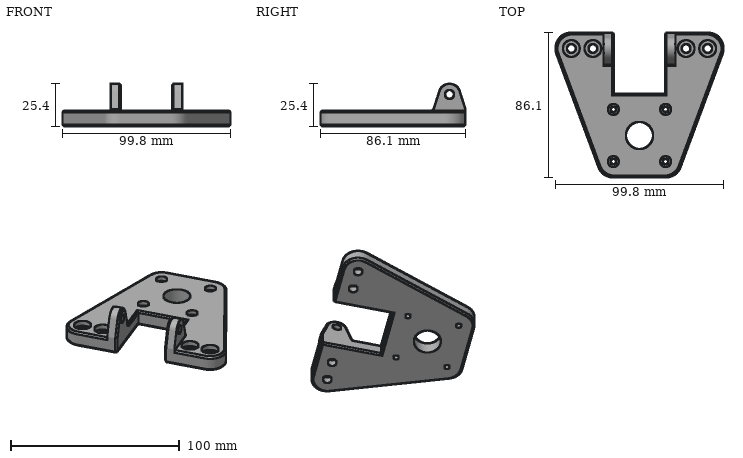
import cadquery as cq
import math

overall_width = 99.8
overall_depth = 86.1
plate_thickness = 9.5
front_edge = -25.0
rear_edge = front_edge + overall_depth
corner_radius = 9.5
edge_chamfer = 1.2
rear_corner_x = overall_width / 2 - corner_radius
rear_corner_y = rear_edge - corner_radius

bore_diameter = 16.0
small_hole_spacing = 31.0
small_hole_diameter = 3.1
small_counterbore_diameter = 6.5
small_counterbore_depth = 3.0
large_hole_spacing = 12.8
large_hole_diameter = 5.1
large_counterbore_diameter = 10.0
large_counterbore_depth = 3.4
front_corner_x = small_hole_spacing / 2
front_corner_y = front_edge + corner_radius

slot_width = 30.2
slot_end = 24.9
slot_chamfer = 1.1
lug_thickness = 6.2
lug_top = 25.4
lug_radius = 6.4
lug_pin_height = lug_top - lug_radius
lug_pin_diameter = 5.2
lug_half_base = rear_edge - rear_corner_y
foot_height = 0.8
foot_length = 0.9
tolerance = 0.01


def rounded_trapezoid():
    """Outline with equal corner radii, joined by tangent sides."""
    side_angle = math.atan2(rear_corner_x - front_corner_x, rear_corner_y - front_corner_y)
    side_x = corner_radius * math.cos(side_angle)
    side_y = -corner_radius * math.sin(side_angle)
    front_mid_angle = (-math.pi / 2 - side_angle) / 2
    rear_mid_angle = (math.pi / 2 - side_angle) / 2
    front_mid_x = front_corner_x + corner_radius * math.cos(front_mid_angle)
    front_mid_y = front_corner_y + corner_radius * math.sin(front_mid_angle)
    rear_mid_x = rear_corner_x + corner_radius * math.cos(rear_mid_angle)
    rear_mid_y = rear_corner_y + corner_radius * math.sin(rear_mid_angle)
    front_side = (front_corner_x + side_x, front_corner_y + side_y)
    rear_side = (rear_corner_x + side_x, rear_corner_y + side_y)
    return (
        cq.Workplane("XY")
        .moveTo(-front_corner_x, front_edge)
        .lineTo(front_corner_x, front_edge)
        .threePointArc((front_mid_x, front_mid_y), front_side)
        .lineTo(*rear_side)
        .threePointArc((rear_mid_x, rear_mid_y), (rear_corner_x, rear_edge))
        .lineTo(-rear_corner_x, rear_edge)
        .threePointArc((-rear_mid_x, rear_mid_y), (-rear_side[0], rear_side[1]))
        .lineTo(-front_side[0], front_side[1])
        .threePointArc((-front_mid_x, front_mid_y), (-front_corner_x, front_edge))
        .close()
    )


def make_plate():
    plate = rounded_trapezoid().extrude(plate_thickness)
    plate = plate.faces("<Z or >Z").chamfer(edge_chamfer)
    slot = cq.Workplane("XY").box(
        slot_width, rear_edge - slot_end, plate_thickness, centered=(True, False, False)
    )
    return plate.cut(slot.translate((0, slot_end, 0)))


def make_lug(inner_x):
    """Round-topped lug whose sloping sides are tangent to its top arc."""
    shoulder_z = plate_thickness + foot_height
    drop = lug_pin_height - shoulder_z
    tangent_angle = math.acos(lug_radius / math.hypot(lug_half_base, drop)) - math.atan2(drop, lug_half_base)
    tangent_y = lug_radius * math.cos(tangent_angle)
    tangent_z = lug_pin_height + lug_radius * math.sin(tangent_angle)
    base_z = plate_thickness - edge_chamfer
    front_y = rear_corner_y - lug_half_base
    return (
        cq.Workplane("YZ", origin=(inner_x, 0, 0))
        .moveTo(rear_edge, base_z)
        .lineTo(rear_edge, shoulder_z)
        .lineTo(rear_corner_y + tangent_y, tangent_z)
        .threePointArc((rear_corner_y, lug_top), (rear_corner_y - tangent_y, tangent_z))
        .lineTo(front_y, shoulder_z)
        .lineTo(front_y - foot_length, plate_thickness)
        .lineTo(front_y - foot_length, base_z)
        .close()
        .extrude(math.copysign(lug_thickness, inner_x))
    )


def chamfer_slot(body):
    """Bevel the slot along both plate faces, at its mouth and around the lug profiles."""
    edges = []
    for edge in body.edges().vals():
        box = edge.BoundingBox()
        on_left_wall = abs(box.xmin + slot_width / 2) + abs(box.xmax + slot_width / 2) < tolerance
        on_right_wall = abs(box.xmin - slot_width / 2) + abs(box.xmax - slot_width / 2) < tolerance
        on_wall = on_left_wall or on_right_wall
        on_end = abs(box.ymin - slot_end) + abs(box.ymax - slot_end) < tolerance
        is_corner = on_wall and on_end
        if (on_wall or on_end) and not is_corner:
            edges.append(edge)
    return body.newObject(edges).chamfer(slot_chamfer)


def drill_holes(body):
    small_holes = cq.Workplane("XY", origin=(0, 0, plate_thickness)).rect(
        small_hole_spacing, small_hole_spacing, forConstruction=True
    ).vertices()
    body = body.cut(small_holes.circle(small_hole_diameter / 2).extrude(-plate_thickness))
    body = body.cut(small_holes.circle(small_counterbore_diameter / 2).extrude(-small_counterbore_depth))

    large_hole_points = [
        (side * x, rear_corner_y)
        for side in (-1, 1)
        for x in (rear_corner_x, rear_corner_x - large_hole_spacing)
    ]
    large_holes = cq.Workplane("XY", origin=(0, 0, plate_thickness)).pushPoints(large_hole_points)
    body = body.cut(large_holes.circle(large_hole_diameter / 2).extrude(-plate_thickness))
    body = body.cut(large_holes.circle(large_counterbore_diameter / 2).extrude(-large_counterbore_depth))

    body = body.cut(cq.Workplane("XY").circle(bore_diameter / 2).extrude(plate_thickness))
    pin_hole = (
        cq.Workplane("YZ")
        .center(rear_corner_y, lug_pin_height)
        .circle(lug_pin_diameter / 2)
        .extrude(overall_width / 2, both=True)
    )
    return body.cut(pin_hole)


body = make_plate()
for lug_inner_x in (-slot_width / 2, slot_width / 2):
    body = body.union(make_lug(lug_inner_x))
result = drill_holes(chamfer_slot(body.clean()))